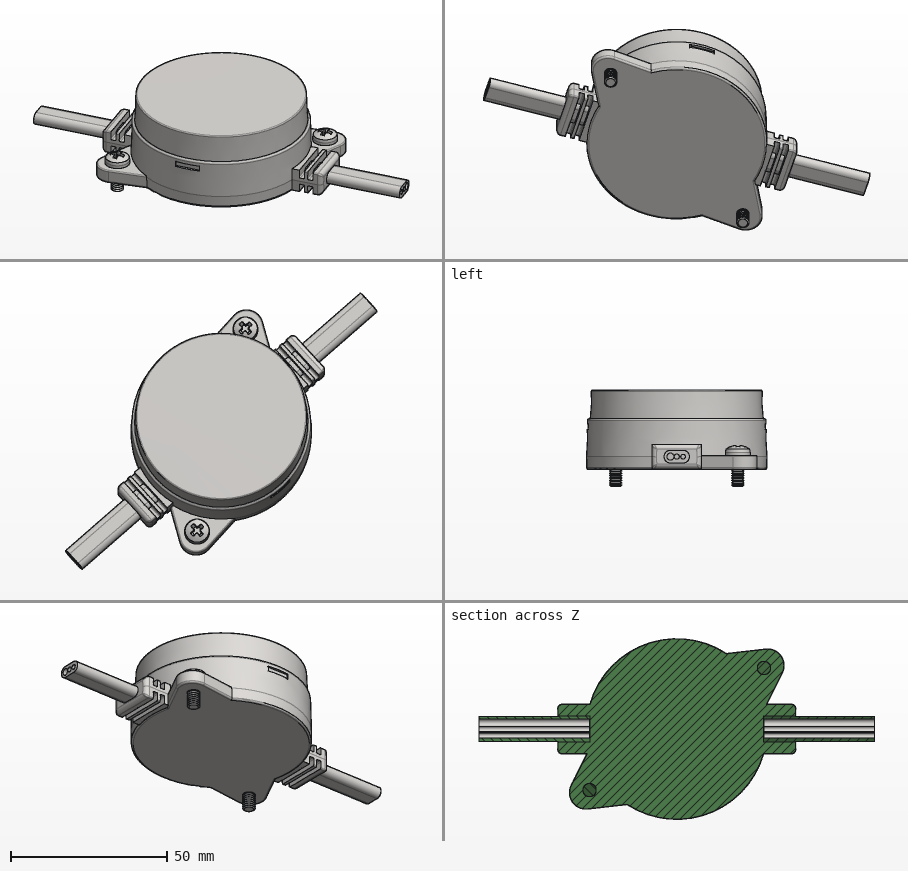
import cadquery as cq
import math


SPLIT_Z = 4.2
SPLIT_R = 28.93
FLOOR_R = 28.8
RIM_R = 28.6
HOUSING_TOP = 16.3
RIM_ROUND = 0.6
FLOOR_ROUND = 0.6

WINDOW_W = 8.2
WINDOW_H = 1.8
WINDOW_Z = 13.8
WINDOW_FLOOR = 27.9

EAR_ANGLE = 35
EAR_TIP_DISTANCE = 35.5
EAR_TIP_R = 5.3
EAR_HALF_ANGLE = 28.5
EAR_ROOT_DISTANCE = 22.8
EAR_TOP = 4.5
EAR_ROUND = 0.4

RELIEF_HALF_W = 8.0
RELIEF_DRAFT = 0.1
RELIEF_HALF_H = 3.9
RELIEF_ROOT = 25.3
COLLAR_END = 30.3
SLOT_W = 1.8
FIN_W = 1.1
BLOCK_W = 3.2
RELIEF_END = COLLAR_END + 2 * SLOT_W + FIN_W + BLOCK_W
WEB_HALF_H = 1.1
SLOT_ROUND = 0.4
RELIEF_EDGE_ROUND = 0.4
RELIEF_END_ROUND = 1.5

COVER_BASE_R = 27.7
COVER_TOP_R = 27.3
COVER_TOP = 25.6
DOME_RISE = 0.1
COVER_ROUND = 0.4

CABLE_END = 63.3
CABLE_START = 27.9
CABLE_T = 4.0
CABLE_W = 8.1
CORE_PITCH = 2.0
CORE_DIAMETERS = [1.5, 1.6, 2.3]

SCREW_DISTANCE = 34.0
SHANK_R = 2.0
THREAD_ROOT_R = 1.5
THREAD_PITCH = 0.8
THREAD_COUNT = 7
SCREW_TIP = -THREAD_COUNT * THREAD_PITCH
HEAD_R = 3.99
HEAD_SIDE_H = 1.0
HEAD_SHOULDER_R = 3.8
HEAD_SHOULDER_H = 2.0
HEAD_H = 3.3
CROSS_L = 5.1
CROSS_W = 1.3
CROSS_FLOOR_L = 2.8
CROSS_FLOOR = EAR_TOP + 1.1

SIDES = (0, 180)


def turned(body, angle):
    return body.rotate((0, 0, 0), (0, 0, 1), angle)


def make_ear():
    """Ear along +X: a round tip with two straight sides that widen toward the housing."""
    half_angle = math.radians(EAR_HALF_ANGLE)
    tangent_x = EAR_TIP_DISTANCE + EAR_TIP_R * math.sin(half_angle)
    tangent_y = EAR_TIP_R * math.cos(half_angle)
    root_y = tangent_y + (tangent_x - EAR_ROOT_DISTANCE) * math.tan(half_angle)
    ear = (
        cq.Workplane("XY")
        .moveTo(EAR_ROOT_DISTANCE, -root_y)
        .lineTo(tangent_x, -tangent_y)
        .threePointArc((EAR_TIP_DISTANCE + EAR_TIP_R, 0), (tangent_x, tangent_y))
        .lineTo(EAR_ROOT_DISTANCE, root_y)
        .close()
        .extrude(EAR_TOP)
    )
    return ear.faces(">Z").edges("not <X").fillet(EAR_ROUND)


def relief_bar(start, end):
    """Bar along +X whose sides are drafted away from the parting plane."""
    top_half_w = RELIEF_HALF_W - RELIEF_DRAFT
    outline = [
        (-RELIEF_HALF_W, 0),
        (-top_half_w, RELIEF_HALF_H),
        (top_half_w, RELIEF_HALF_H),
        (RELIEF_HALF_W, 0),
        (top_half_w, -RELIEF_HALF_H),
        (-top_half_w, -RELIEF_HALF_H),
    ]
    return cq.Workplane("YZ", origin=(start, 0, SPLIT_Z)).polyline(outline).close().extrude(end - start)


def make_relief():
    collar = relief_bar(RELIEF_ROOT, COLLAR_END)
    fins = relief_bar(COLLAR_END, RELIEF_END)
    fins = fins.faces(">Z or <Z").edges("|X").fillet(RELIEF_EDGE_ROUND)
    fins = fins.faces(">X").edges().fillet(RELIEF_END_ROUND)
    slot_h = RELIEF_HALF_H
    cutter = cq.Workplane("XY").box(SLOT_W, 3 * RELIEF_HALF_W, slot_h).edges("|Y").fillet(SLOT_ROUND)
    for slot_start in (COLLAR_END, COLLAR_END + SLOT_W + FIN_W):
        for direction in (1, -1):
            slot_z = SPLIT_Z + direction * (WEB_HALF_H + slot_h / 2)
            fins = fins.cut(cutter.translate((slot_start + SLOT_W / 2, 0, slot_z)))
    return collar.union(fins)


def cable_envelope():
    """Flat oval cable along +X, without its cores."""
    return (
        cq.Workplane("YZ", origin=(CABLE_START, 0, SPLIT_Z))
        .slot2D(CABLE_W, CABLE_T)
        .extrude(CABLE_END - CABLE_START)
    )


def make_cable(side):
    """Cable leaving the housing at 0 or 180 degrees, hollow along its three cores."""
    cable = turned(cable_envelope(), side)
    for place, diameter in enumerate(CORE_DIAMETERS):
        core_y = (place - 1) * CORE_PITCH
        core = cq.Workplane("YZ", origin=(0, core_y, SPLIT_Z)).circle(diameter / 2)
        cable = cable.cut(core.extrude(CABLE_END, both=True))
    return cable


def make_housing():
    base = (
        cq.Workplane("XZ")
        .polyline([(0, 0), (FLOOR_R, 0), (SPLIT_R, SPLIT_Z), (0, SPLIT_Z)])
        .close()
        .revolve(360, (0, 0, 0), (0, 1, 0))
    )
    shell = (
        cq.Workplane("XZ")
        .polyline([(0, SPLIT_Z), (SPLIT_R, SPLIT_Z), (RIM_R, HOUSING_TOP), (0, HOUSING_TOP)])
        .close()
        .revolve(360, (0, 0, 0), (0, 1, 0))
        .faces(">Z")
        .edges()
        .fillet(RIM_ROUND)
    )
    for side in SIDES:
        base = base.union(turned(make_ear(), EAR_ANGLE + side))
    housing = base.faces("<Z").edges().fillet(FLOOR_ROUND).union(shell)

    window_depth = SPLIT_R - WINDOW_FLOOR
    window = cq.Workplane("XY").box(WINDOW_W, window_depth, WINDOW_H)
    window = window.translate((0, WINDOW_FLOOR + window_depth / 2, WINDOW_Z))
    screw_hole = cq.Workplane("XY").center(SCREW_DISTANCE, 0).circle(SHANK_R).extrude(EAR_TOP)
    for side in SIDES:
        housing = housing.union(turned(make_relief(), side))
        housing = housing.cut(turned(cable_envelope(), side))
        housing = housing.cut(turned(window, side))
        housing = housing.cut(turned(screw_hole, EAR_ANGLE + side))
    return housing


def make_cover():
    """Tapered disc with a rounded edge and a slightly domed top."""
    edge_z = COVER_TOP - DOME_RISE
    dome_r = (COVER_TOP_R**2 + DOME_RISE**2) / (2 * DOME_RISE)
    mid_r = COVER_TOP_R / 2
    mid_z = COVER_TOP - dome_r + math.sqrt(dome_r**2 - mid_r**2)
    cover = (
        cq.Workplane("XZ")
        .moveTo(0, HOUSING_TOP)
        .lineTo(COVER_BASE_R, HOUSING_TOP)
        .lineTo(COVER_TOP_R, edge_z)
        .threePointArc((mid_r, mid_z), (0, COVER_TOP))
        .close()
        .revolve(360, (0, 0, 0), (0, 1, 0))
    )
    rim = cq.selectors.NearestToPointSelector((0, 0, edge_z))
    return cover.edges(rim).fillet(COVER_ROUND)


def cross_recess():
    """Cross recess whose arm ends slope inward to the floor."""
    top = EAR_TOP + HEAD_H
    outline = [
        (-CROSS_L / 2, top),
        (CROSS_L / 2, top),
        (CROSS_FLOOR_L / 2, CROSS_FLOOR),
        (-CROSS_FLOOR_L / 2, CROSS_FLOOR),
    ]
    arm = cq.Workplane("XZ").polyline(outline).close().extrude(CROSS_W / 2, both=True)
    return arm.union(turned(arm, 90))


def make_screw(side):
    """Pan-head screw standing in an ear, with its thread as V-shaped rings."""
    profile = cq.Workplane("XZ").moveTo(0, SCREW_TIP).lineTo(THREAD_ROOT_R, SCREW_TIP)
    for turn in range(THREAD_COUNT):
        ring_z = SCREW_TIP + (turn + 0.5) * THREAD_PITCH
        profile = profile.lineTo(SHANK_R, ring_z).lineTo(THREAD_ROOT_R, ring_z + THREAD_PITCH / 2)
    shoulder_z = EAR_TOP + HEAD_SHOULDER_H
    head_top = EAR_TOP + HEAD_H
    dome_rise = head_top - shoulder_z
    dome_r = (HEAD_SHOULDER_R**2 + dome_rise**2) / (2 * dome_rise)
    mid_r = HEAD_SHOULDER_R / 2
    mid_z = head_top - dome_r + math.sqrt(dome_r**2 - mid_r**2)
    screw = (
        profile.lineTo(SHANK_R, 0)
        .lineTo(SHANK_R, EAR_TOP)
        .lineTo(HEAD_R, EAR_TOP)
        .lineTo(HEAD_R, EAR_TOP + HEAD_SIDE_H)
        .lineTo(HEAD_SHOULDER_R, shoulder_z)
        .threePointArc((mid_r, mid_z), (0, head_top))
        .close()
        .revolve(360, (0, 0, 0), (0, 1, 0))
        .cut(cross_recess())
    )
    ear_angle = math.radians(EAR_ANGLE + side)
    return screw.translate((SCREW_DISTANCE * math.cos(ear_angle), SCREW_DISTANCE * math.sin(ear_angle), 0))


housing = make_housing()
cover = make_cover()
cables = [make_cable(side) for side in SIDES]
screws = [make_screw(side) for side in SIDES]

result = cq.Compound.makeCompound(
    [housing.val(), cover.val()] + [cable.val() for cable in cables] + [screw.val() for screw in screws]
)